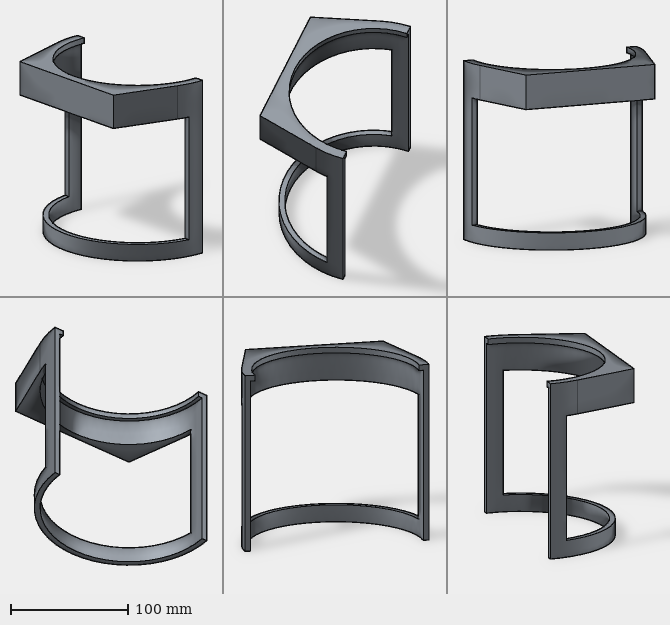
import math

import cadquery as cq

outer_radius = 80.6
depth = 83.5
height = 155.0
center_depth = depth - outer_radius

frame_wall = 5.0
lip_wall = 8.7
frame_bore_radius = outer_radius - frame_wall
lip_bore_radius = outer_radius - lip_wall

cradle_height = 30.0
ring_height = 15.0
lip_height = 5.0
post_depth = 15.0

front_half_width = 60.2


def round_column(radius, z_bottom, z_top):
    """Column bounded by a circular arc, slightly over a half circle, and the open back."""
    back_half_width = math.sqrt(radius**2 - center_depth**2)
    return (
        cq.Workplane("XY", origin=(0, 0, z_bottom))
        .moveTo(-back_half_width, 0)
        .threePointArc((0, -center_depth - radius), (back_half_width, 0))
        .close()
        .extrude(z_top - z_bottom)
    )


def make_cradle_front():
    """Flat-fronted block whose slanted sides run tangent into the outer round wall."""
    corner_distance = math.hypot(front_half_width, outer_radius)
    corner_angle = math.atan2(outer_radius, front_half_width)
    tangent_angle = corner_angle - math.acos(outer_radius / corner_distance)
    tangent_x = outer_radius * math.cos(tangent_angle)
    tangent_y = -center_depth - outer_radius * math.sin(tangent_angle)
    return (
        cq.Workplane("XY", origin=(0, 0, height - cradle_height))
        .moveTo(-tangent_x, tangent_y)
        .lineTo(-front_half_width, -depth)
        .lineTo(front_half_width, -depth)
        .lineTo(tangent_x, tangent_y)
        .close()
        .extrude(cradle_height)
    )


def make_window():
    """Front cutout that leaves a post on each side between the ring and the cradle."""
    return cq.Workplane("XY", origin=(0, -depth, ring_height)).box(
        2 * outer_radius,
        depth - post_depth,
        height - cradle_height - ring_height,
        centered=(True, False, False),
    )


body = round_column(outer_radius, 0, height).union(make_cradle_front())

frame_bore = round_column(frame_bore_radius, 0, height - lip_height)
lip_bore = round_column(lip_bore_radius, height - lip_height, height)

result = body.cut(frame_bore).cut(lip_bore).cut(make_window())